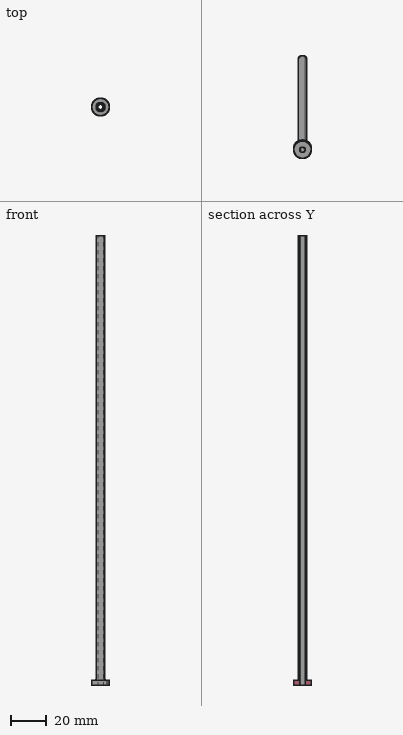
import cadquery as cq

overall_length = 253.0
head_diameter = 10.0
head_thickness = 3.0
tube_diameter = 5.0
bore_diameter = 3.0
neck_fillet_radius = 0.3


def make_cylinder(diameter, height):
    """Upright cylinder on the Z axis, standing on the XY plane."""
    return cq.Workplane("XY").circle(diameter / 2).extrude(height)


def round_neck(body):
    """Fillet the inside corner where the tube leaves the head."""
    point_on_corner = (0, tube_diameter / 2, head_thickness)
    head_top = body.faces(cq.selectors.NearestToPointSelector(point_on_corner))
    corner = head_top.edges(cq.selectors.RadiusNthSelector(0))
    return corner.fillet(neck_fillet_radius)


def cut_bore(body):
    """Cut a straight bore along the whole length."""
    return body.cut(make_cylinder(bore_diameter, overall_length))


head = make_cylinder(head_diameter, head_thickness)
tube = make_cylinder(tube_diameter, overall_length)
sleeve = round_neck(head.union(tube))
result = cut_bore(sleeve)